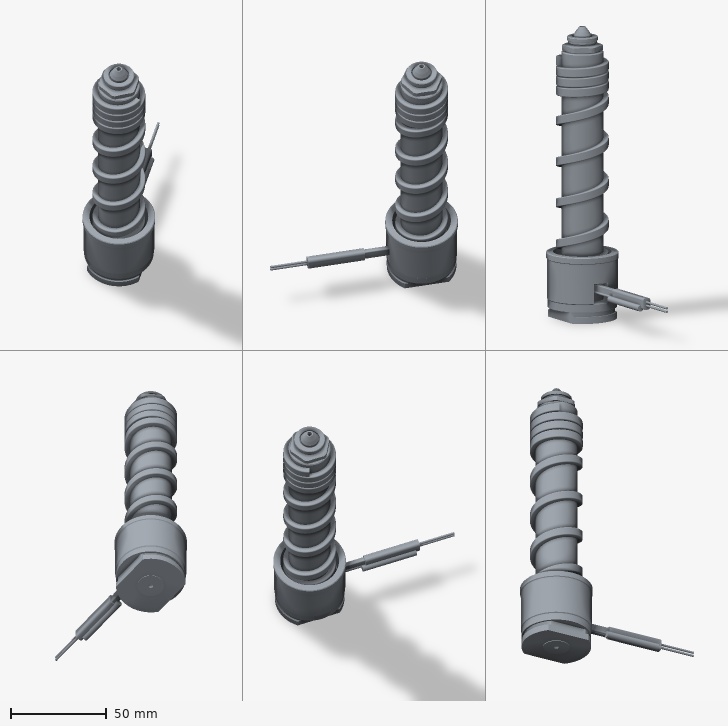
import cadquery as cq
import math

total_width = 38.0
total_depth = 100.0
total_height = 155.2

bore_radius = 1.2

boss_radius = 7.0
foot_bottom = 0.3
foot_top = 3.9
foot_radius = 36.5 / 2
foot_groove_radius = 17.2
foot_groove_top = 6.4
flat_distance = 14.0

barrel_bottom = 10.4
barrel_radius = 18.6
flange_bottom = 32.0
flange_radius = total_width / 2
housing_top = 35.5
edge_chamfer = 0.5

pocket_radius = 15.4
pocket_floor = barrel_bottom
slot_width = 8.7
slot_top = 21.4

shaft_radius = 11.0
shaft_top = 142.3
neck_radius = 9.3
nut_bottom = 143.0
nut_top = 146.0
nut_across_flats = 19.4
nut_corner_radius = 10.7
nut_face_radius = 7.1
nut_face_slope_height = 0.6

collar_base_radius = nut_face_radius
collar_taper_bottom = 146.4
collar_lower_radius = 7.6
collar_lower_bottom = 147.0
collar_lower_top = 147.8
collar_groove_radius = 7.1
collar_upper_bottom = 148.2
collar_upper_radius = 8.0
collar_top = 150.2
collar_chamfer = 0.3

recess_radius = 5.5
recess_floor = 149.3
tip_base_radius = 4.7
tip_base_height = 150.9
tip_break_radius = 3.5
tip_break_height = 152.7
tip_end_radius = 1.7

coil_radius = 13.8
coil_band_height = 4.7
coil_corner_radius = 0.5
tight_pitch = 5.3
loose_pitch = 21.9
transition_pitch = 10.4
transition_angle = 96.0
tight_top_angle = 1150.0
loose_angle = 1335.0

tight_end_height = 120.5
tight_end_azimuth = -90.0

coil_turns_to_lead = 8
first_turn_angle = 200.0

lead_x = -1.2
lead_z = 17.4
lead_width = 2.6
lead_height = 5.0
lead_fillet = 0.5

sleeve_width = 4.3
sleeve_height = 6.2
sleeve_fillet = 1.2
sleeve_start = 30.9
sleeve_length = 30.3
wire_radius = 0.6
wire_spacing = 1.9
wire_end = total_depth - flange_radius

tube_radius = 1.7
tube_x = 1.1
tube_z = 14.9
tube_start = 28.9
tube_length = 30.0
sensor_lead_radius = 0.6
sensor_lead_x = 0.2
sensor_lead_z = 15.8


def ring_cutter(outer_radius, inner_radius, bottom, top):
    return (
        cq.Workplane("XY", origin=(0, 0, bottom))
        .circle(outer_radius)
        .circle(inner_radius)
        .extrude(top - bottom)
    )


def revolved(profile):
    """Turn a closed (radius, height) outline about the Z axis."""
    return cq.Workplane("XZ").polyline(profile).close().revolve(360, (0, 0, 0), (0, 1, 0))


def make_base():
    foot = (
        cq.Workplane("XY", origin=(0, 0, foot_bottom))
        .circle(foot_radius)
        .extrude(barrel_bottom - foot_bottom)
        .cut(ring_cutter(2 * foot_radius, foot_groove_radius, foot_top, foot_groove_top))
    )
    side_cutter = (
        cq.Workplane("XY")
        .rect(4 * foot_radius, 4 * foot_radius)
        .rect(2 * flat_distance, 3 * foot_radius)
        .extrude(foot_groove_top)
    )
    boss = cq.Workplane("XY").circle(boss_radius).extrude(foot_top)
    return foot.cut(side_cutter).union(boss)


def make_housing():
    barrel = (
        cq.Workplane("XY", origin=(0, 0, barrel_bottom))
        .circle(barrel_radius)
        .extrude(flange_bottom - barrel_bottom)
        .faces("<Z")
        .chamfer(edge_chamfer)
    )
    flange = (
        cq.Workplane("XY", origin=(0, 0, flange_bottom))
        .circle(flange_radius)
        .extrude(housing_top - flange_bottom)
        .faces("<Z or >Z")
        .chamfer(flange_radius - barrel_radius)
    )
    pocket = ring_cutter(pocket_radius, shaft_radius, pocket_floor, housing_top)
    slot_start = (pocket_radius + shaft_radius) / 2
    lead_slot = (
        cq.Workplane("XY")
        .box(slot_width, barrel_radius, slot_top - pocket_floor, centered=(True, False, False))
        .translate((0, slot_start, pocket_floor))
    )
    return barrel.union(flange).cut(pocket).cut(lead_slot)


def make_shaft():
    shaft = (
        cq.Workplane("XY", origin=(0, 0, foot_top))
        .circle(shaft_radius)
        .extrude(shaft_top - foot_top)
        .faces(">Z")
        .chamfer(edge_chamfer)
    )
    neck = cq.Workplane("XY", origin=(0, 0, foot_top)).circle(neck_radius).extrude(nut_bottom - foot_top)
    return shaft.union(neck)


def make_nut():
    height = nut_top - nut_bottom
    corner_to_corner = nut_across_flats / math.cos(math.radians(30))
    hexagon = (
        cq.Workplane("XY", origin=(0, 0, nut_bottom))
        .transformed(rotate=(0, 0, 90))
        .polygon(6, corner_to_corner)
        .extrude(height)
    )
    rounding_profile = [
        (0, nut_bottom),
        (nut_corner_radius, nut_bottom),
        (nut_corner_radius, nut_top - nut_face_slope_height),
        (nut_face_radius, nut_top),
        (0, nut_top),
    ]
    rounding = revolved(rounding_profile)
    return hexagon.intersect(rounding)


def make_collar_and_tip():
    profile = [
        (0, nut_top),
        (collar_base_radius, nut_top),
        (collar_base_radius, collar_taper_bottom),
        (collar_lower_radius, collar_lower_bottom),
        (collar_lower_radius, collar_lower_top),
        (collar_groove_radius, collar_lower_top),
        (collar_groove_radius, collar_upper_bottom),
        (collar_upper_radius, collar_upper_bottom),
        (collar_upper_radius, collar_top - collar_chamfer),
        (collar_upper_radius - collar_chamfer, collar_top),
        (recess_radius, collar_top),
        (recess_radius, recess_floor),
        (tip_base_radius, recess_floor),
        (tip_base_radius, tip_base_height),
        (tip_break_radius, tip_break_height),
        (tip_end_radius, total_height),
        (0, total_height),
    ]
    return revolved(profile)


def make_nozzle():
    bore = cq.Workplane("XY").circle(bore_radius).extrude(total_height)
    return (
        make_base()
        .union(make_housing())
        .union(make_shaft())
        .union(make_nut())
        .union(make_collar_and_tip())
        .cut(bore)
    )


def coil_section(pitch, sweep_angle, start_azimuth, start_height):
    """Rising right-handed stretch of the coil, starting at an azimuth and a centre height."""
    rise = pitch * sweep_angle / 360
    middle_radius = (shaft_radius + coil_radius) / 2
    path = cq.Wire.makeHelix(pitch, rise, middle_radius)
    outline = (
        cq.Sketch()
        .rect(coil_radius - shaft_radius, coil_band_height)
        .vertices(">X")
        .fillet(coil_corner_radius)
    )
    band = (
        cq.Workplane("XZ", origin=(middle_radius, 0, 0))
        .placeSketch(outline)
        .sweep(cq.Workplane(obj=path), isFrenet=True)
    )
    return band.rotate((0, 0, 0), (0, 0, 1), start_azimuth).translate((0, 0, start_height))


def coil_sections():
    loose_top_azimuth = tight_end_azimuth - transition_angle
    loose_top = tight_end_height - transition_pitch * transition_angle / 360
    loose_bottom_azimuth = loose_top_azimuth - loose_angle
    loose_bottom = loose_top - loose_pitch * loose_angle / 360
    lower_tight_azimuth = loose_bottom_azimuth - transition_angle
    lower_tight_top = loose_bottom - transition_pitch * transition_angle / 360

    lead_azimuth = 90 - 360 * coil_turns_to_lead
    lower_tight_angle = lower_tight_azimuth - lead_azimuth
    lower_tight_pitch = (lower_tight_top - lead_z) * 360 / lower_tight_angle

    first_rise = lower_tight_pitch * first_turn_angle / 360
    return [
        (lower_tight_pitch, first_turn_angle, lead_azimuth, lead_z),
        (
            lower_tight_pitch,
            lower_tight_angle - first_turn_angle,
            lead_azimuth + first_turn_angle,
            lead_z + first_rise,
        ),
        (transition_pitch, transition_angle, lower_tight_azimuth, lower_tight_top),
        (loose_pitch, loose_angle, loose_bottom_azimuth, loose_bottom),
        (transition_pitch, transition_angle, loose_top_azimuth, loose_top),
        (tight_pitch, tight_top_angle, tight_end_azimuth, tight_end_height),
    ]


def bar_along_y(width, height, fillet, start, length, x, z):
    return (
        cq.Workplane("XY")
        .box(width, length, height, centered=(True, False, True))
        .edges("|Y")
        .fillet(fillet)
        .translate((x, start, z))
    )


def rod_along_y(radius, start, end, x, z):
    return cq.Workplane("XZ", origin=(x, start, z)).circle(radius).extrude(start - end)


def make_lead():
    lead_start = (shaft_radius + coil_radius) / 2
    sleeve_middle = sleeve_start + sleeve_length / 2
    sleeve_end = sleeve_start + sleeve_length
    lead = bar_along_y(
        lead_width, lead_height, lead_fillet, lead_start, sleeve_middle - lead_start, lead_x, lead_z
    )
    sleeve = bar_along_y(
        sleeve_width, sleeve_height, sleeve_fillet, sleeve_start, sleeve_length, lead_x, lead_z
    )
    lead = lead.union(sleeve)
    for side in (-1, 1):
        wire_z = lead_z + side * wire_spacing / 2
        lead = lead.union(rod_along_y(wire_radius, sleeve_end, wire_end, lead_x, wire_z))
    return lead


def make_sensor():
    tube_end = tube_start + tube_length
    tube = rod_along_y(tube_radius, tube_start, tube_end, tube_x, tube_z)
    lead_start = (shaft_radius + coil_radius) / 2
    sensor_lead = rod_along_y(sensor_lead_radius, lead_start, tube_end, sensor_lead_x, sensor_lead_z)
    return tube.union(sensor_lead)


def make_heater():
    heater = make_lead().union(make_sensor())
    for section in coil_sections():
        heater = heater.union(coil_section(*section))
    return heater


nozzle = make_nozzle()
heater = make_heater()

result = cq.Compound.makeCompound([nozzle.val(), heater.val()])